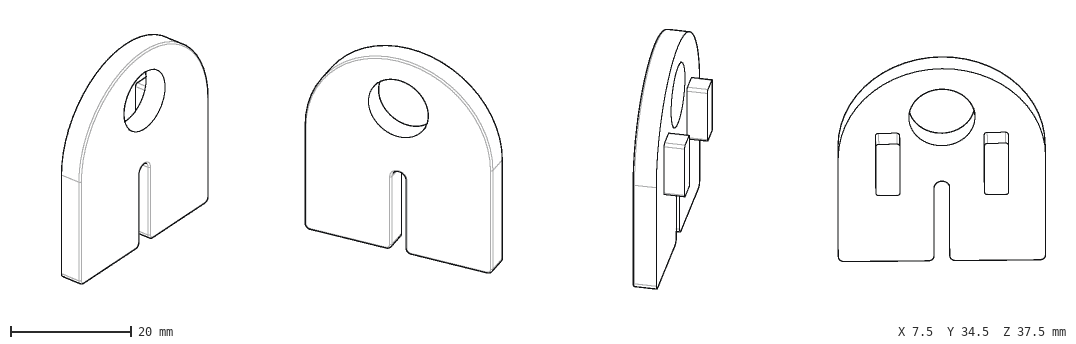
import cadquery as cq

height = 37.5
width = 34.5
overall_depth = 7.5
plate_thickness = 4.0
corner_radius = 1.0
rim_radius = 0.3

hole_diameter = 11.0
hole_height = 27.98

slot_width = 2.6
slot_top = 15.52

peg_width = 4.0
peg_height = 10.0
peg_spacing = 18.08
peg_center_height = 20.0
peg_corner_radius = 0.5

plate_back = overall_depth / 2
plate_front = plate_back - plate_thickness
half_width = width / 2
shoulder_height = height - half_width
half_slot = slot_width / 2
slot_shoulder = slot_top - half_slot
peg_length = overall_depth - plate_thickness


def make_plate():
    """Arched plate with the slot in its outline, rounded lower corners and a rounded +X rim."""
    outline = (
        cq.Workplane("YZ", origin=(plate_front, 0, 0))
        .moveTo(-half_width, 0)
        .lineTo(-half_width, shoulder_height)
        .threePointArc((0, height), (half_width, shoulder_height))
        .lineTo(half_width, 0)
        .lineTo(half_slot, 0)
        .lineTo(half_slot, slot_shoulder)
        .threePointArc((0, slot_top), (-half_slot, slot_shoulder))
        .lineTo(-half_slot, 0)
        .close()
    )
    plate = outline.extrude(plate_thickness)
    plate = plate.edges("|X").edges("<Z").fillet(corner_radius)
    return plate.faces(">X").edges().fillet(rim_radius)


def make_hole():
    """Cylinder that removes the round hole."""
    return (
        cq.Workplane("YZ", origin=(plate_front, 0, hole_height))
        .circle(hole_diameter / 2)
        .extrude(plate_thickness)
    )


def make_pegs():
    """Pair of upright pegs reaching from the plate toward -X."""
    return (
        cq.Workplane("YZ", origin=(plate_front, 0, peg_center_height))
        .pushPoints([(-peg_spacing / 2, 0), (peg_spacing / 2, 0)])
        .rect(peg_width, peg_height)
        .extrude(-peg_length)
        .edges("|X")
        .fillet(peg_corner_radius)
    )


result = make_plate().cut(make_hole()).union(make_pegs())